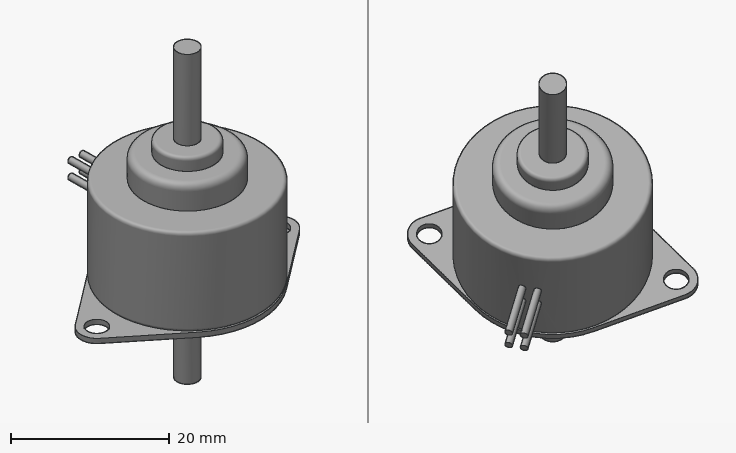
import cadquery as cq
import math

shaft_length = 50
boss_bottom = 11.1
flange_bottom = 14.3
flange_top = 15.1
body_top = 30.15
collar_top = 34.1
cap_top = 36.15

shaft_diameter = 3.5
boss_diameter = 15.15
body_diameter = 25.2
collar_diameter = 15.2
cap_diameter = 9

body_rounding = 0.5
collar_rounding = 1
cap_rounding = 0.5

flange_length = 37.5
ear_radius = 2.75
hole_diameter = 3.2
hole_offset = flange_length / 2 - ear_radius

wire_diameter = 1
wire_reach = 20
wire_spacing_y = 2
wire_spacing_z = 2.5
wire_center_z = 22.55


def cylinder(diameter, bottom, top):
    """Cylinder on the motor axis between two heights."""
    return cq.Workplane("XY").workplane(offset=bottom).circle(diameter / 2).extrude(top - bottom)


def make_flange():
    """Plate with a round middle and two ears, joined by common tangents."""
    disc_radius = body_diameter / 2
    tangent_angle = math.asin((disc_radius - ear_radius) / hole_offset)
    nx = math.cos(tangent_angle)
    ny = math.sin(tangent_angle)
    disc_x = disc_radius * nx
    disc_y = disc_radius * ny
    ear_x = ear_radius * nx
    ear_y = hole_offset + ear_radius * ny
    plate = (
        cq.Workplane("XY")
        .workplane(offset=flange_bottom)
        .moveTo(disc_x, -disc_y)
        .threePointArc((disc_radius, 0), (disc_x, disc_y))
        .lineTo(ear_x, ear_y)
        .threePointArc((0, flange_length / 2), (-ear_x, ear_y))
        .lineTo(-disc_x, disc_y)
        .threePointArc((-disc_radius, 0), (-disc_x, -disc_y))
        .lineTo(-ear_x, -ear_y)
        .threePointArc((0, -flange_length / 2), (ear_x, -ear_y))
        .close()
        .extrude(flange_top - flange_bottom)
    )
    holes = (
        cq.Workplane("XY")
        .workplane(offset=flange_bottom)
        .pushPoints([(0, hole_offset), (0, -hole_offset)])
        .circle(hole_diameter / 2)
        .extrude(flange_top - flange_bottom)
    )
    return plate.cut(holes)


def make_wires():
    """Four straight leads running from inside the body out along -X."""
    return (
        cq.Workplane("YZ", origin=(-wire_reach, 0, wire_center_z))
        .rarray(wire_spacing_y, wire_spacing_z, 2, 2)
        .circle(wire_diameter / 2)
        .extrude(wire_reach)
    )


body = cylinder(body_diameter, flange_top, body_top).edges().fillet(body_rounding)
collar = cylinder(collar_diameter, body_top, collar_top).edges(">Z").fillet(collar_rounding)
cap = cylinder(cap_diameter, collar_top, cap_top).edges(">Z").fillet(cap_rounding)

result = (
    body.union(collar)
    .union(cap)
    .union(cylinder(boss_diameter, boss_bottom, flange_bottom))
    .union(make_flange())
    .union(cylinder(shaft_diameter, 0, shaft_length))
    .union(make_wires())
)